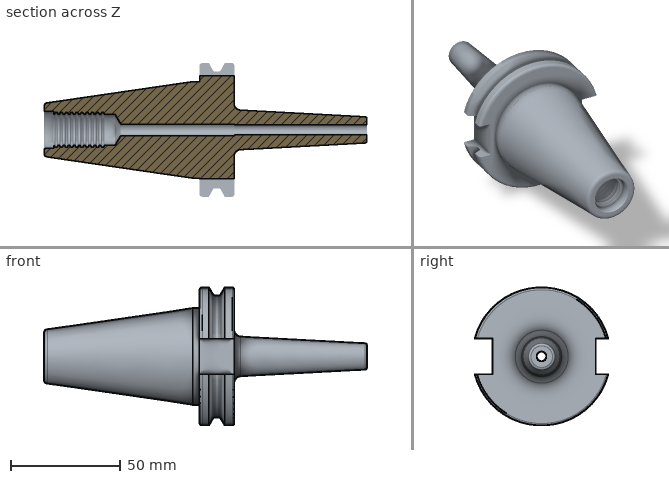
import cadquery as cq
import math

TOTAL_LENGTH = 148.2
GAUGE_X = 68.2
FLANGE_START_X = 71.3
FLANGE_END_X = 87.3

GAUGE_RADIUS = 44.5 / 2
COLLAR_RADIUS = 44.6 / 2
TAPER_SLOPE = 7 / 24 / 2
SHANK_END_RADIUS = GAUGE_RADIUS - GAUGE_X * TAPER_SLOPE
SHANK_END_FILLET = 1.8

FLANGE_RADIUS = 63.5 / 2
REAR_RIM_FILLET = 1.3
FRONT_RIM_FILLET = 1.0
GROOVE_CENTRE_X = 79.3
GROOVE_MOUTH_WIDTH = 7.3
GROOVE_DEPTH = 3.7
GROOVE_FLANK_ANGLE = 30.0
GROOVE_FILLET = 1.0

SLOT_WIDTH = 16.3
SLOT_FLOOR_MINUS_Y = 22.5
SLOT_FLOOR_PLUS_Y = 24.9

NOSE_ROOT_RADIUS = 9.3
NOSE_TIP_RADIUS = 6.1
NOSE_ROOT_FILLET = 3.0
NOSE_TIP_FILLET = 1.2

SEARCH_MARGIN = 0.1

MOUTH_RADIUS = 17.5 / 2
MOUTH_CHAMFER_LENGTH = 0.7
COUNTERBORE_RADIUS = 16.8 / 2
COUNTERBORE_DEPTH = 4.5
THREAD_RADIUS = 15.9 / 2
CORE_RADIUS = 14.0 / 2
THREAD_PITCH = 2.4
THREAD_ROOT_WIDTH = 0.6
THREAD_FLANK_ANGLE = 30.0
THREAD_COUNT = 10
CORE_DEPTH = 32.6
DRILL_POINT_HALF_ANGLE = 59.0

PASSAGE_RADIUS = 5.2 / 2
NOSE_PASSAGE_RADIUS = 4.3 / 2


def revolve_about_x(outline):
    return outline.close().revolve(360, (0, 0, 0), (1, 0, 0))


def make_shank():
    outline = (
        cq.Workplane("XY")
        .lineTo(0, SHANK_END_RADIUS)
        .lineTo(GAUGE_X, GAUGE_RADIUS)
        .lineTo(GAUGE_X, COLLAR_RADIUS)
        .lineTo(FLANGE_START_X, COLLAR_RADIUS)
        .lineTo(FLANGE_START_X, 0)
    )
    return revolve_about_x(outline).faces("<X").edges().fillet(SHANK_END_FILLET)


def make_groove():
    floor_radius = FLANGE_RADIUS - GROOVE_DEPTH
    half_mouth = GROOVE_MOUTH_WIDTH / 2
    half_floor = half_mouth - GROOVE_DEPTH * math.tan(math.radians(GROOVE_FLANK_ANGLE))
    outline = (
        cq.Workplane("XY")
        .moveTo(GROOVE_CENTRE_X - half_mouth, FLANGE_RADIUS)
        .lineTo(GROOVE_CENTRE_X - half_floor, floor_radius)
        .lineTo(GROOVE_CENTRE_X + half_floor, floor_radius)
        .lineTo(GROOVE_CENTRE_X + half_mouth, FLANGE_RADIUS)
    )
    on_floor = cq.selectors.RadiusNthSelector(0)
    return revolve_about_x(outline).edges("%CIRCLE").edges(on_floor).fillet(GROOVE_FILLET)


def make_slot(floor, side):
    depth = FLANGE_RADIUS - floor
    length = FLANGE_END_X - FLANGE_START_X
    middle = ((FLANGE_START_X + FLANGE_END_X) / 2, side * (floor + depth / 2), 0)
    return cq.Workplane("XY").box(length, depth, SLOT_WIDTH).translate(middle)


def make_flange():
    outline = (
        cq.Workplane("XY")
        .moveTo(FLANGE_START_X, 0)
        .lineTo(FLANGE_START_X, FLANGE_RADIUS)
        .lineTo(FLANGE_END_X, FLANGE_RADIUS)
        .lineTo(FLANGE_END_X, 0)
    )
    disc = revolve_about_x(outline)
    disc = disc.faces("<X").edges().fillet(REAR_RIM_FILLET)
    disc = disc.faces(">X").edges().fillet(FRONT_RIM_FILLET)
    flange = disc.cut(make_groove())
    return flange.cut(make_slot(SLOT_FLOOR_MINUS_Y, -1)).cut(make_slot(SLOT_FLOOR_PLUS_Y, 1))


def make_nose():
    outline = (
        cq.Workplane("XY")
        .moveTo(FLANGE_END_X, 0)
        .lineTo(FLANGE_END_X, NOSE_ROOT_RADIUS)
        .lineTo(TOTAL_LENGTH, NOSE_TIP_RADIUS)
        .lineTo(TOTAL_LENGTH, 0)
    )
    return revolve_about_x(outline).faces(">X").edges().fillet(NOSE_TIP_FILLET)


def make_bore():
    point_length = (CORE_RADIUS - PASSAGE_RADIUS) / math.tan(math.radians(DRILL_POINT_HALF_ANGLE))
    outline = (
        cq.Workplane("XY")
        .lineTo(0, MOUTH_RADIUS)
        .lineTo(MOUTH_CHAMFER_LENGTH, COUNTERBORE_RADIUS)
        .lineTo(COUNTERBORE_DEPTH, COUNTERBORE_RADIUS)
        .lineTo(COUNTERBORE_DEPTH, CORE_RADIUS)
        .lineTo(CORE_DEPTH, CORE_RADIUS)
        .lineTo(CORE_DEPTH + point_length, PASSAGE_RADIUS)
        .lineTo(FLANGE_END_X, PASSAGE_RADIUS)
        .lineTo(FLANGE_END_X, NOSE_PASSAGE_RADIUS)
        .lineTo(TOTAL_LENGTH, NOSE_PASSAGE_RADIUS)
        .lineTo(TOTAL_LENGTH, 0)
    )
    return revolve_about_x(outline)


def make_thread_ring(centre_x):
    half_root = THREAD_ROOT_WIDTH / 2
    flank_length = (THREAD_RADIUS - CORE_RADIUS) * math.tan(math.radians(THREAD_FLANK_ANGLE))
    half_mouth = half_root + flank_length
    outline = (
        cq.Workplane("XY")
        .moveTo(centre_x - half_mouth, 0)
        .lineTo(centre_x - half_mouth, CORE_RADIUS)
        .lineTo(centre_x - half_root, THREAD_RADIUS)
        .lineTo(centre_x + half_root, THREAD_RADIUS)
        .lineTo(centre_x + half_mouth, CORE_RADIUS)
        .lineTo(centre_x + half_mouth, 0)
    )
    return revolve_about_x(outline)


def round_nose_root(body):
    nose_root = cq.selectors.BoxSelector(
        (FLANGE_END_X - SEARCH_MARGIN, -NOSE_ROOT_RADIUS, -NOSE_ROOT_RADIUS),
        (FLANGE_END_X + SEARCH_MARGIN, NOSE_ROOT_RADIUS, NOSE_ROOT_RADIUS),
    )
    return body.edges("%CIRCLE").edges(nose_root).fillet(NOSE_ROOT_FILLET)


def cut_thread(body):
    first_ring_x = COUNTERBORE_DEPTH + THREAD_PITCH / 2
    for index in range(THREAD_COUNT):
        body = body.cut(make_thread_ring(first_ring_x + index * THREAD_PITCH))
    return body


holder = make_shank().union(make_flange()).union(make_nose())
holder = round_nose_root(holder).cut(make_bore())
result = cut_thread(holder)